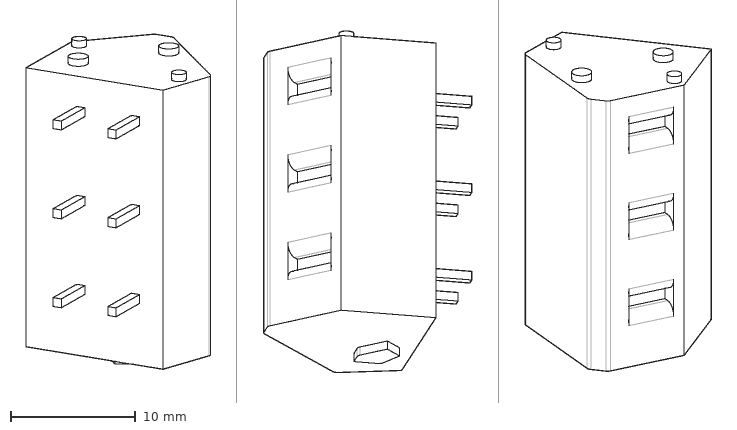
import cadquery as cq
import math


housing_height = 23.5
housing_depth = 12.72
base_width = 12.5
left_wall_depth = 7.8
crest_width = 1.65
right_wall_tilt = 18.0
corner_radius = 0.5

pole_count = 3
pole_pitch = 7.5
first_pin_z = 5.6

pin_size = 0.75
pin_length = 4.0
pin_embed = 1.0
first_pin_x = 5.0
pin_spacing = 4.98

entry_width = 4.1
entry_depth = 1.46
entry_gap = 1.22
entry_mouth_radius = 1.0
entry_upper_y = 11.38
entry_z_offset = -0.4

stud_height = 0.6
small_stud_diameter = 1.2
large_stud_diameter = 1.6
small_stud_centers = [(1.02, 7.15), (12.28, 3.12)]
large_stud_centers = [(8.25, 8.85), (3.15, 3.03)]

key_height = 0.7
key_left_x = 6.1
key_left_y = 2.63
key_drop = 1.31
key_right_x = 9.5
key_top_y = 4.61
key_rise_angle = 27.0
key_corner_radius = 0.5

crest_left_x = housing_depth - left_wall_depth
crest_right_x = crest_left_x + crest_width
tilt_ratio = math.tan(math.radians(right_wall_tilt))
shoulder_y = (crest_right_x + housing_depth - base_width) / (1 + tilt_ratio)
shoulder_x = base_width + shoulder_y * tilt_ratio


def make_housing():
    outline = [
        (0, 0),
        (base_width, 0),
        (shoulder_x, shoulder_y),
        (crest_right_x, housing_depth),
        (crest_left_x, housing_depth),
        (0, left_wall_depth),
    ]
    housing = cq.Workplane("XY").polyline(outline).close().extrude(housing_height)
    housing = housing.edges("|Z and >Y").fillet(corner_radius)
    return housing.edges("|Z and >X").fillet(corner_radius)


def make_wire_entry(center_z):
    """Slot with a rounded flare above and below, sunk square into the left slope."""
    half_gap = entry_gap / 2
    half_mouth = half_gap + entry_mouth_radius
    upper_end = (entry_upper_y - left_wall_depth, entry_upper_y, center_z)
    end_plane = cq.Plane(origin=upper_end, xDir=(1, -1, 0), normal=(-1, -1, 0))
    flare_sag = entry_mouth_radius * (1 - math.sqrt(0.5))
    flare_middle_z = half_gap + flare_sag
    return (
        cq.Workplane(end_plane)
        .moveTo(0, -half_mouth)
        .threePointArc((flare_sag, -flare_middle_z), (entry_mouth_radius, -half_gap))
        .lineTo(entry_depth, -half_gap)
        .lineTo(entry_depth, half_gap)
        .lineTo(entry_mouth_radius, half_gap)
        .threePointArc((flare_sag, flare_middle_z), (0, half_mouth))
        .close()
        .extrude(entry_width)
    )


def make_pin(center_x, center_z):
    full_length = pin_length + pin_embed
    return (
        cq.Workplane("XY")
        .box(pin_size, full_length, pin_size)
        .translate((center_x, pin_embed - full_length / 2, center_z))
    )


def make_studs(centers, diameter):
    return (
        cq.Workplane("XY")
        .workplane(offset=housing_height)
        .pushPoints(centers)
        .circle(diameter / 2)
        .extrude(stud_height)
    )


def make_key():
    low_x = key_left_x + key_drop
    low_y = key_left_y - key_drop
    right_y = low_y + (key_right_x - low_x) * math.tan(math.radians(key_rise_angle))
    top_left_x = key_left_x + key_top_y - key_left_y
    outline = [
        (key_left_x, key_left_y),
        (low_x, low_y),
        (key_right_x, right_y),
        (key_right_x, key_top_y),
        (top_left_x, key_top_y),
    ]
    key = cq.Workplane("XY").polyline(outline).close().extrude(-key_height)
    top_left_edge = cq.selectors.NearestToPointSelector((top_left_x, key_top_y, -key_height / 2))
    return key.edges(top_left_edge).fillet(key_corner_radius)


result = make_housing()

for pole in range(pole_count):
    pin_z = first_pin_z + pole * pole_pitch
    result = result.cut(make_wire_entry(pin_z + entry_z_offset))
    for pin_x in (first_pin_x, first_pin_x + pin_spacing):
        result = result.union(make_pin(pin_x, pin_z))

result = result.union(make_studs(small_stud_centers, small_stud_diameter))
result = result.union(make_studs(large_stud_centers, large_stud_diameter))
result = result.union(make_key())